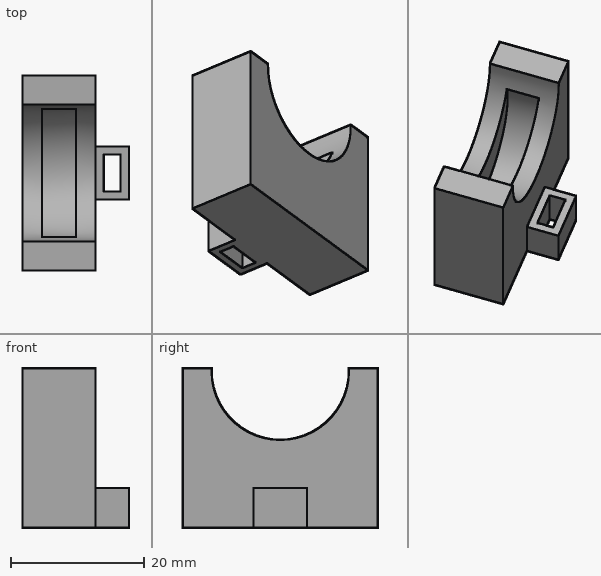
import cadquery as cq

block_length = 29.3
block_height = 24.0
block_thickness = 11.0

cradle_radius = 10.28
cradle_center_z = block_height - 0.47

groove_radius = 10.0
groove_width = 5.1
groove_center_z = block_height - 7.0

tab_reach = 5.0
tab_width = 8.0
tab_height = 6.0
slot_end_wall = 1.3
slot_size_x = 2.5
slot_size_y = 5.5


def make_block():
    return cq.Workplane("XY").box(
        block_thickness, block_length, block_height, centered=(False, True, False)
    )


def make_cradle_cut():
    """Cylinder that opens straight upward above its center."""
    cylinder = (
        cq.Workplane("YZ")
        .center(0, cradle_center_z)
        .circle(cradle_radius)
        .extrude(block_thickness)
    )
    opening = (
        cq.Workplane("XY")
        .workplane(offset=cradle_center_z)
        .box(block_thickness, 2 * cradle_radius, block_height, centered=(False, True, False))
    )
    return cylinder.union(opening)


def make_groove_cut():
    return (
        cq.Workplane("YZ")
        .workplane(offset=(block_thickness - groove_width) / 2)
        .center(0, groove_center_z)
        .circle(groove_radius)
        .extrude(groove_width)
    )


def make_tab():
    tab = (
        cq.Workplane("XY")
        .center(block_thickness, 0)
        .box(tab_reach, tab_width, tab_height, centered=(False, True, False))
    )
    slot = (
        cq.Workplane("XY")
        .center(block_thickness + tab_reach - slot_end_wall - slot_size_x / 2, 0)
        .rect(slot_size_x, slot_size_y)
        .extrude(tab_height)
    )
    return tab.cut(slot)


result = make_block().cut(make_cradle_cut()).cut(make_groove_cut()).union(make_tab())